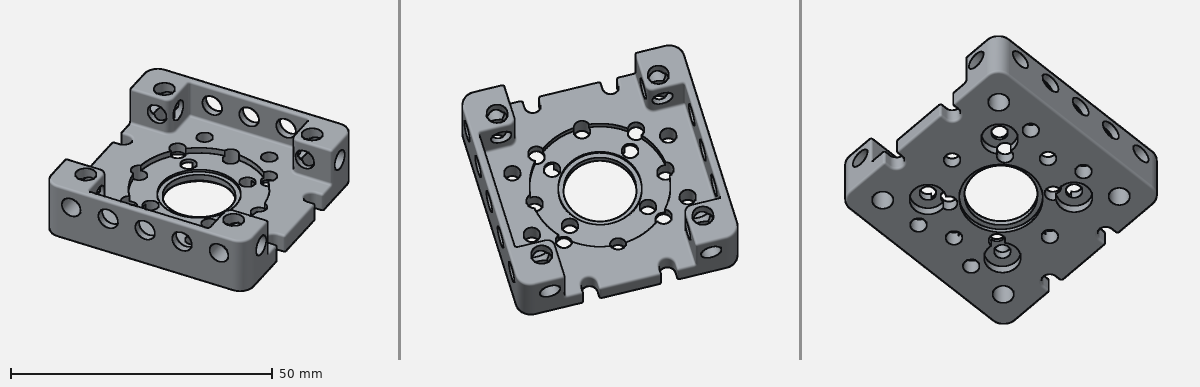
import cadquery as cq
import math

SIDE = 44.0
HEIGHT = 12.0
CORNER_RADIUS = 3.0
EDGE_RADIUS = 0.5

FLOOR_Z = 4.0
POST_SIZE = 9.0
POST_RADIUS = 1.5
WALL_THICKNESS = 1.6

SLOT_RADIUS = 1.6
SLOT_CENTRE_INSET = 1.6
SLOT_Y = 7.75

RECESS_RADIUS = 13.5
RECESS_DEPTH = 1.25
COUNTERBORE_RADIUS = 8.0
UPPER_COUNTERBORE_DEPTH = 0.5
LOWER_COUNTERBORE_DEPTH = 0.95
BORE_RADIUS = 7.0

FLOOR_HOLE_RADIUS = 1.6
AXIAL_HOLE_CIRCLE = 13.0
DIAGONAL_HOLE_CIRCLE = 14.0
DIAGONAL_COUNTERBORE_RADIUS = 3.5
DIAGONAL_COUNTERBORE_DEPTH = 2.02
INNER_HOLE_X = 6.4
OUTER_HOLE_X = 7.0
OUTER_HOLE_Y = 2 * SLOT_Y

HOLE_PITCH = 8.0
MOUNT_HOLE_RADIUS = 2.02
WALL_HOLE_RADIUS = 2.1
SIDE_HOLE_Z = HEIGHT - FLOOR_Z

HALF_SIDE = SIDE / 2
POST_HOLE = 2 * HOLE_PITCH
DIAGONAL_HOLE = DIAGONAL_HOLE_CIRCLE * math.sqrt(0.5)

SHARP_COSINE = 0.5


def mirrored(x, y):
    """Return a point repeated in all four quadrants."""
    return [(sign_x * x, sign_y * y) for sign_x in (-1, 1) for sign_y in (-1, 1)]


def cylinders(points, radius, bottom, top):
    """Upright cylinders at the given points, between two heights."""
    base = cq.Workplane("XY").workplane(offset=bottom)
    return base.pushPoints(points).circle(radius).extrude(top - bottom)


def cross_holes(plane, points, radius):
    """Round holes right across the block, normal to a plane through its centre."""
    return cq.Workplane(plane).pushPoints(points).circle(radius).extrude(HALF_SIDE, both=True)


def make_block():
    """Rounded square block with round-ended slots in the X sides."""
    block = cq.Workplane("XY").rect(SIDE, SIDE).extrude(HEIGHT)
    block = block.edges("|Z").fillet(CORNER_RADIUS)
    slot_length = 2 * (SLOT_CENTRE_INSET + SLOT_RADIUS)
    slots = (
        cq.Workplane("XY")
        .pushPoints(mirrored(HALF_SIDE, SLOT_Y))
        .slot2D(slot_length, 2 * SLOT_RADIUS)
        .extrude(HEIGHT)
    )
    return block.cut(slots)


def make_channel():
    """Cross-shaped channel volume with rounded corners and a rounded floor edge."""
    depth = HEIGHT - FLOOR_Z
    gap = SIDE - 2 * POST_SIZE
    across = cq.Workplane("XY").rect(2 * SIDE, gap).extrude(depth)
    along = cq.Workplane("XY").rect(gap, SIDE - 2 * WALL_THICKNESS).extrude(depth)
    along = along.edges("|Z").fillet(EDGE_RADIUS)
    channel = across.union(along)
    post_corners = cq.selectors.BoxSelector(
        (-POST_HOLE, -POST_HOLE, 0), (POST_HOLE, POST_HOLE, depth)
    )
    channel = channel.edges("|Z").edges(post_corners).fillet(POST_RADIUS)
    channel = channel.faces("<Z").edges().fillet(EDGE_RADIUS)
    return channel.translate((0, 0, FLOOR_Z))


def sharp_edges(body):
    """Edges whose two faces meet at an angle, leaving out tangent joins."""
    faces = body.faces().vals()
    edges = []
    for edge in body.edges().vals():
        middle = edge.positionAt(0.5)
        normals = [
            face.normalAt(middle)
            for face in faces
            if any(edge.isSame(other) for other in face.Edges())
        ]
        if normals[0].dot(normals[-1]) < SHARP_COSINE:
            edges.append(edge)
    return edges


def make_stepped_bore():
    """Through bore with a wide recess above and a counterbore at both ends."""
    centre = [(0, 0)]
    recess_z = FLOOR_Z - RECESS_DEPTH
    counterbore_z = recess_z - UPPER_COUNTERBORE_DEPTH
    bore = cylinders(centre, BORE_RADIUS, 0, FLOOR_Z)
    bore = bore.union(cylinders(centre, RECESS_RADIUS, recess_z, FLOOR_Z))
    bore = bore.union(cylinders(centre, COUNTERBORE_RADIUS, counterbore_z, recess_z))
    return bore.union(cylinders(centre, COUNTERBORE_RADIUS, 0, LOWER_COUNTERBORE_DEPTH))


def cut_floor_holes(body):
    """Drill the small floor holes and counterbore the diagonal ones from below."""
    points = [(-AXIAL_HOLE_CIRCLE, 0), (AXIAL_HOLE_CIRCLE, 0)]
    points += [(0, -AXIAL_HOLE_CIRCLE), (0, AXIAL_HOLE_CIRCLE)]
    points += mirrored(DIAGONAL_HOLE, DIAGONAL_HOLE)
    points += mirrored(INNER_HOLE_X, SLOT_Y)
    points += mirrored(OUTER_HOLE_X, OUTER_HOLE_Y)
    counterbores = cylinders(
        mirrored(DIAGONAL_HOLE, DIAGONAL_HOLE),
        DIAGONAL_COUNTERBORE_RADIUS,
        0,
        DIAGONAL_COUNTERBORE_DEPTH,
    )
    return body.cut(cylinders(points, FLOOR_HOLE_RADIUS, 0, FLOOR_Z)).cut(counterbores)


def cut_mounting_holes(body):
    """Drill each post along X, Y and Z, and the thin walls along Y."""
    post_points = [(x, SIDE_HOLE_Z) for x in (-POST_HOLE, POST_HOLE)]
    wall_points = [(x, SIDE_HOLE_Z) for x in (-HOLE_PITCH, 0, HOLE_PITCH)]
    body = body.cut(cylinders(mirrored(POST_HOLE, POST_HOLE), MOUNT_HOLE_RADIUS, 0, HEIGHT))
    body = body.cut(cross_holes("YZ", post_points, MOUNT_HOLE_RADIUS))
    body = body.cut(cross_holes("XZ", post_points, MOUNT_HOLE_RADIUS))
    return body.cut(cross_holes("XZ", wall_points, WALL_HOLE_RADIUS))


body = make_block().cut(make_channel())
body = body.newObject(sharp_edges(body)).fillet(EDGE_RADIUS)
body = body.cut(make_stepped_bore())
body = cut_floor_holes(body)
result = cut_mounting_holes(body)